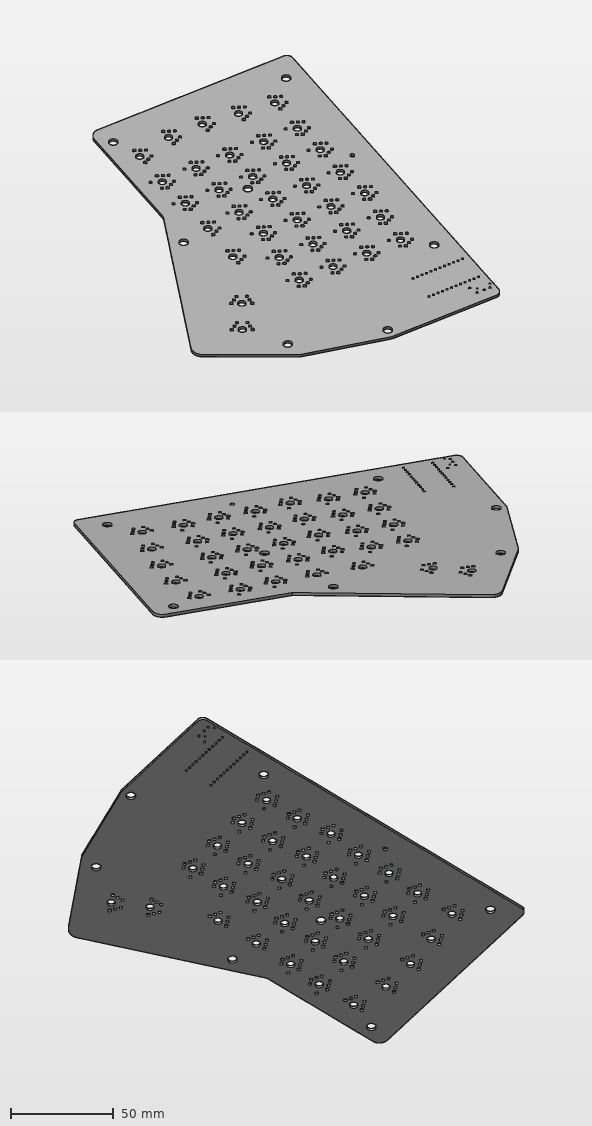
import cadquery as cq
import math

thickness = 1.6

width = 202.5
top_y = 151.0
bottom_y = 37.7
small_radius = 3.2
large_radius = 5.0
tip_radius = 5.7
outline = [
    (0, top_y, small_radius),
    (width, top_y, small_radius),
    (width, 88.5, 0),
    (191.0, 43.4, 0),
    (164.3, -1.5, tip_radius),
    (71.0, bottom_y, 0),
    (0, bottom_y, large_radius),
]

first_key_x = 48.6
first_key_y = 126.6
middle_rise = 1.6
tall_rise = 4.0
column_rises = [0, middle_rise, middle_rise, tall_rise, middle_rise, middle_rise]
column_rows = [5, 5, 4, 4, 4, 4]
grid_span = 95.5
key_pitch = grid_span / (len(column_rises) - 1)
pin_grid = key_pitch / 15

edge_keys = [(-1.125, 0), (-1.25, 1), (-1.375, 2), (-1.375, 3), (-1.125, 4)]
space_keys = [(2.125, 4), (3.375, 4)]

thumb_start = (144.5, 38.3)
thumb_tilt = 60.0

stem_diameter = 4.0
peg_diameter = 1.75
pin_diameter = 1.5
peg_offset = 4 * pin_grid
upright_pins = [(-3, 2), (-2, 4), (2, 4), (3, 2)]
reversed_pins = [(3, -2), (-2, -4)]

header_diameter = 1.1
header_pins = 12
header_pin_step = 2 * pin_grid
header_row_gap = 12 * pin_grid
header_x = 171.5
header_top_y = 147.0

jack_pin_diameter = 1.1
jack_pins = [(196.1, 147.9), (196.1, 144.7), (196.1, 140.6), (191.5, 139.2)]
jack_peg_diameter = 0.8
jack_pegs = [(193.7, 149.3), (193.7, 142.2)]

screw_diameter = 4.7
screw_holes = [
    (14.4, 140.6),
    (155.5, 140.5),
    (197.3, 89.3),
    (74.2, 83.5),
    (11.5, 44.5),
    (91.8, 36.7),
    (181.3, 42.3),
]
access_diameter = 2.2
access_hole = (79.2, 139.5)


def make_plate():
    plate = cq.Workplane("XY").polyline([(x, y) for x, y, _ in outline]).close().extrude(thickness)
    for x, y, radius in outline:
        if radius > 0:
            corner = cq.selectors.NearestToPointSelector((x, y, thickness / 2))
            plate = plate.edges("|Z").edges(corner).fillet(radius)
    return plate


def drills(points, diameter):
    """Cylinders through the plate at the given points."""
    return cq.Workplane("XY").pushPoints(points).circle(diameter / 2).extrude(thickness).vals()


def switch_drills(center, tilt=0.0, reversible=False):
    """Stem, peg and pin holes of one switch, turned by tilt degrees."""
    pins = upright_pins + (reversed_pins if reversible else [])
    pin_points = [(across * pin_grid, up * pin_grid) for across, up in pins]
    holes = drills([(0, 0)], stem_diameter)
    holes += drills([(-peg_offset, 0), (peg_offset, 0)], peg_diameter)
    holes += drills(pin_points, pin_diameter)
    spot = cq.Location(cq.Vector(*center, 0), cq.Vector(0, 0, 1), tilt)
    return [hole.moved(spot) for hole in holes]


def key_position(across, down, rise):
    return (first_key_x + across * key_pitch, first_key_y - down * key_pitch + rise)


holes = []

for column, (rise, rows) in enumerate(zip(column_rises, column_rows)):
    for row in range(rows):
        holes += switch_drills(key_position(column, row, rise), reversible=True)

for across, down in edge_keys:
    holes += switch_drills(key_position(across, down, 0))
for across, down in space_keys:
    holes += switch_drills(key_position(across, down, middle_rise))

row_angle = math.radians(thumb_tilt - 90)
for place in range(2):
    thumb_x = thumb_start[0] + place * key_pitch * math.cos(row_angle)
    thumb_y = thumb_start[1] + place * key_pitch * math.sin(row_angle)
    holes += switch_drills((thumb_x, thumb_y), tilt=thumb_tilt)

for row_x in (header_x, header_x + header_row_gap):
    header_points = [(row_x, header_top_y - pin * header_pin_step) for pin in range(header_pins)]
    holes += drills(header_points, header_diameter)

holes += drills(jack_pins, jack_pin_diameter)
holes += drills(jack_pegs, jack_peg_diameter)
holes += drills(screw_holes, screw_diameter)
holes += drills([access_hole], access_diameter)

result = cq.Workplane("XY").newObject([make_plate().val().cut(*holes)])